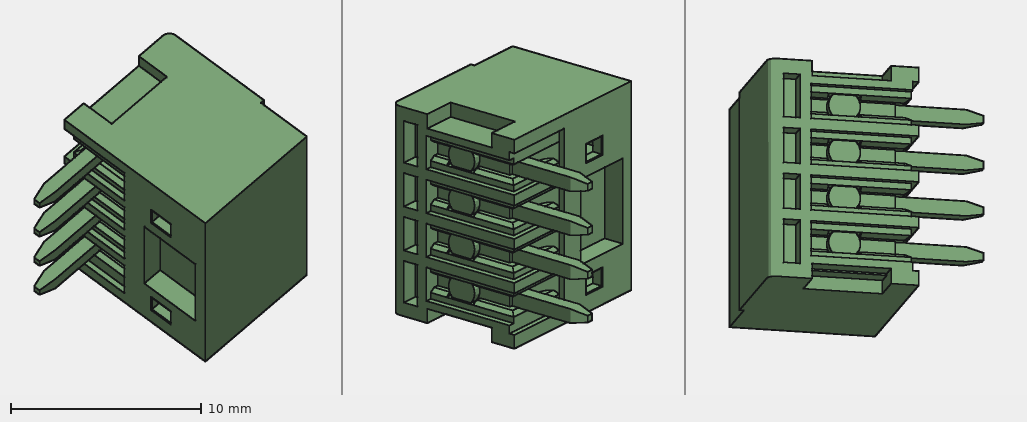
import cadquery as cq

WIDTH = 10.1
HEIGHT = 11.9
BODY_DEPTH = 8.09
PIN_PROJECTION = HEIGHT - BODY_DEPTH
CORNER_RADIUS = 0.48
BACK_STEP_X = 6.81
BACK_STEP_DEPTH = 0.24

PITCH = 2.5
POLE_COUNT = 4
POLE_Z = [(i - (POLE_COUNT - 1) / 2) * PITCH for i in range(POLE_COUNT)]

RECESS_HALF = 0.95
END_RECESS_HALF = 1.42
SIDE_RECESS_DEPTH = 0.37
FRONT_RECESS_DEPTH = 0.32
RECESS_RIGHT_X = 4.31
RECESS_BACK_Y = 5.82

SLOT_HALF = 0.39
SLOT_MOUTH_HALF = 0.6
SLOT_CHAMFER_DEPTH = 0.3
SLOT_FLOOR_X = 0.98
SLOT_FLOOR_Y = 1.04
SLOT_END_RADIUS = 0.88

CLAMP_RADIUS = 0.86
CLAMP_CLEARANCE_HALF = 0.88
CLAMP_Y = 3.89
CLAMP_FACE_X = 0.52

PIN_X = 1.56
PIN_SIDE = 0.81
PIN_TIP_SIDE = 0.39
PIN_TAPER_LENGTH = 0.99
PIN_ROOT_OVERLAP = 0.12

SIDE_HOLE_FRONT_Y = 6.41
SIDE_HOLE_BACK_Y = 7.31
SIDE_HOLE_DEPTH = 1.0

NOTCH_LENGTH = 2.01
NOTCH_FRONT_Y = 1.5
NOTCH_BACK_Y = 5.76
NOTCH_DEPTH = 0.82
BOTTOM_NOTCH_INNER_DEPTH = 0.73

POCKET_LEFT_X = 5.74
POCKET_RIGHT_X = 9.38
POCKET_BOTTOM_Z = -3.07
POCKET_TOP_Z = 1.8
POCKET_DEPTH = 1.21

WINDOW_X = 6.91
WINDOW_WIDTH = 1.44
WINDOW_HEIGHT = 1.11
WINDOW_DROP = 0.63
WINDOW_CHAMFER = 0.05
WINDOW_WALL = 0.62
CHAMBER_BACK_Y = 2.02
CHAMBER_RIGHT_X = 8.57
CHAMBER_FLOOR_DROP = 0.12


def box(x0, x1, y0, y1, z0, z1):
    """Axis-aligned box between two opposite corners."""
    return cq.Workplane("XY").box(x1 - x0, y1 - y0, z1 - z0, centered=False).translate((x0, y0, z0))


def housing():
    return (
        cq.Workplane("XY", origin=(0, 0, -HEIGHT / 2))
        .lineTo(WIDTH, 0)
        .lineTo(WIDTH, BODY_DEPTH - BACK_STEP_DEPTH)
        .lineTo(BACK_STEP_X, BODY_DEPTH - BACK_STEP_DEPTH)
        .lineTo(BACK_STEP_X, BODY_DEPTH)
        .lineTo(CORNER_RADIUS, BODY_DEPTH)
        .radiusArc((0, BODY_DEPTH - CORNER_RADIUS), -CORNER_RADIUS)
        .close()
        .extrude(HEIGHT)
    )


def slot_wedge(plane, start, depth, run_end):
    """Chamfered slot mouth that narrows with depth, swept from the edge of its face to run_end."""
    profile = [
        (start, -SLOT_MOUTH_HALF),
        (start + SLOT_CHAMFER_DEPTH, -SLOT_HALF),
        (depth, -SLOT_HALF),
        (depth, SLOT_HALF),
        (start + SLOT_CHAMFER_DEPTH, SLOT_HALF),
        (start, SLOT_MOUTH_HALF),
    ]
    return cq.Workplane(plane).polyline(profile).close().extrude(run_end)


def contact_slot():
    """L-shaped slot with a chamfered mouth and a rounded right end, centred on z = 0."""
    outline = (
        cq.Workplane("XY", origin=(0, 0, -SLOT_MOUTH_HALF))
        .lineTo(RECESS_RIGHT_X, 0)
        .lineTo(RECESS_RIGHT_X, SLOT_FLOOR_Y - SLOT_END_RADIUS)
        .radiusArc((RECESS_RIGHT_X - SLOT_END_RADIUS, SLOT_FLOOR_Y), -SLOT_END_RADIUS)
        .lineTo(SLOT_FLOOR_X, SLOT_FLOOR_Y)
        .lineTo(SLOT_FLOOR_X, RECESS_BACK_Y)
        .lineTo(0, RECESS_BACK_Y)
        .close()
        .extrude(2 * SLOT_MOUTH_HALF)
    )
    side = slot_wedge("XZ", SIDE_RECESS_DEPTH, SLOT_FLOOR_X, -RECESS_BACK_Y)
    front = slot_wedge("YZ", FRONT_RECESS_DEPTH, SLOT_FLOOR_Y, RECESS_RIGHT_X)
    return outline.intersect(side.union(front))


def clamp_clearance():
    y0 = CLAMP_Y - CLAMP_CLEARANCE_HALF
    y1 = CLAMP_Y + CLAMP_CLEARANCE_HALF
    return box(0, SLOT_FLOOR_X, y0, y1, -SLOT_MOUTH_HALF, SLOT_MOUTH_HALF)


def clamp():
    """Round clamp with its top and bottom cut flat by the clearance."""
    cylinder = (
        cq.Workplane("YZ", origin=(CLAMP_FACE_X, CLAMP_Y, 0))
        .circle(CLAMP_RADIUS)
        .extrude(SLOT_FLOOR_X - CLAMP_FACE_X)
    )
    return cylinder.intersect(clamp_clearance())


def pin():
    """Square pin along -Y with a tapered tip, rooted in the slot floor."""
    half = PIN_SIDE / 2
    taper_y = PIN_TAPER_LENGTH - PIN_PROJECTION
    root_y = SLOT_FLOOR_Y + PIN_ROOT_OVERLAP
    shank = box(PIN_X - half, PIN_X + half, taper_y, root_y, -half, half)
    tip = (
        cq.Workplane("XZ", origin=(PIN_X, taper_y, 0))
        .rect(PIN_SIDE, PIN_SIDE)
        .workplane(offset=PIN_TAPER_LENGTH)
        .rect(PIN_TIP_SIDE, PIN_TIP_SIDE)
        .loft()
    )
    return shank.union(tip)


def pole_cavity(z):
    """Recesses, side hole and contact slot of the pole at height z."""
    bottom = z - (END_RECESS_HALF if z == POLE_Z[0] else RECESS_HALF)
    top = z + (END_RECESS_HALF if z == POLE_Z[-1] else RECESS_HALF)
    front_recess = box(0, RECESS_RIGHT_X, 0, FRONT_RECESS_DEPTH, bottom, top)
    side_recess = box(0, SIDE_RECESS_DEPTH, 0, RECESS_BACK_Y, z - RECESS_HALF, z + RECESS_HALF)
    side_hole = box(0, SIDE_HOLE_DEPTH, SIDE_HOLE_FRONT_Y, SIDE_HOLE_BACK_Y, bottom, top)
    slot = contact_slot().union(clamp_clearance()).translate((0, 0, z))
    return front_recess.union(side_recess).union(slot).union(side_hole)


def top_notch():
    return box(0, NOTCH_LENGTH, NOTCH_FRONT_Y, NOTCH_BACK_Y, HEIGHT / 2 - NOTCH_DEPTH, HEIGHT / 2)


def bottom_notch():
    """Notch with a step halfway along its length."""
    bottom = -HEIGHT / 2
    step_x = NOTCH_LENGTH / 2
    outer = box(0, step_x, NOTCH_FRONT_Y, NOTCH_BACK_Y, bottom, bottom + NOTCH_DEPTH)
    inner = box(0, NOTCH_LENGTH, NOTCH_FRONT_Y, NOTCH_BACK_Y, bottom, bottom + BOTTOM_NOTCH_INNER_DEPTH)
    return outer.union(inner)


def window(pole_z):
    """Window with a chamfered rim, and the chamber behind it."""
    centre_z = pole_z - WINDOW_DROP
    throat_width = WINDOW_WIDTH - 2 * WINDOW_CHAMFER
    throat_height = WINDOW_HEIGHT - 2 * WINDOW_CHAMFER
    rim = (
        cq.Workplane("XZ", origin=(WINDOW_X, 0, centre_z))
        .rect(WINDOW_WIDTH, WINDOW_HEIGHT)
        .workplane(offset=-WINDOW_CHAMFER)
        .rect(throat_width, throat_height)
        .loft()
    )
    throat = (
        cq.Workplane("XZ", origin=(WINDOW_X, 0, centre_z))
        .rect(throat_width, throat_height)
        .extrude(-WINDOW_WALL)
    )
    chamber = box(
        WINDOW_X - WINDOW_WIDTH / 2,
        CHAMBER_RIGHT_X,
        WINDOW_WALL,
        CHAMBER_BACK_Y,
        centre_z - WINDOW_HEIGHT / 2 - CHAMBER_FLOOR_DROP,
        pole_z - SLOT_HALF,
    )
    return rim.union(throat).union(chamber)


body = housing().cut(top_notch()).cut(bottom_notch())
body = body.cut(box(POCKET_LEFT_X, POCKET_RIGHT_X, 0, POCKET_DEPTH, POCKET_BOTTOM_Z, POCKET_TOP_Z))
for end_pole_z in (POLE_Z[0], POLE_Z[-1]):
    body = body.cut(window(end_pole_z))
for z in POLE_Z:
    body = body.cut(pole_cavity(z))
    body = body.union(clamp().translate((0, 0, z)))
    body = body.union(pin().translate((0, 0, z)))

result = body